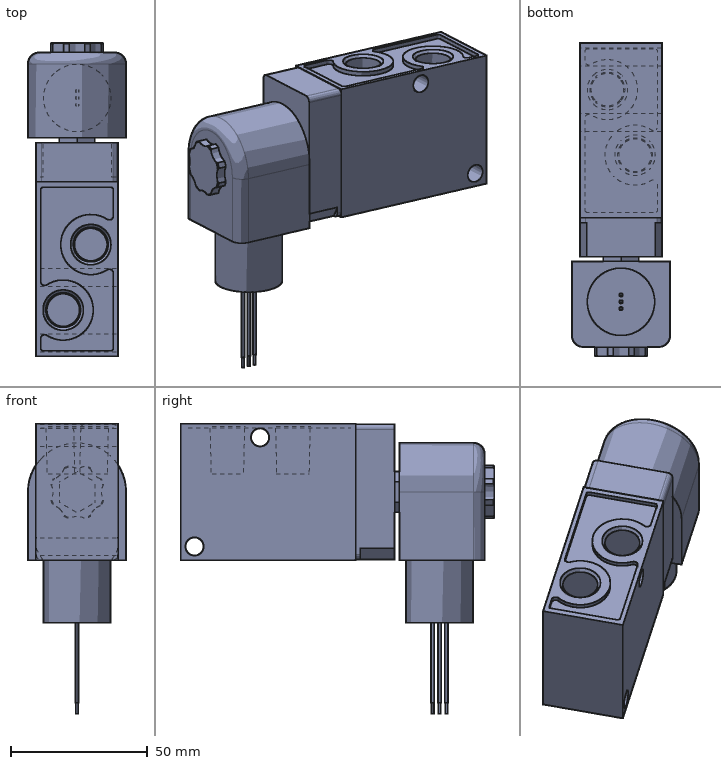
import cadquery as cq
import math


body_width = 30.0
body_length = 64.0
body_height = 50.0
mount_hole_diameter = 6.5
mount_hole_inset = 5.0
upper_mount_hole_y = 29.0

port_mouth_diameter = 14.8
port_diameter = 12.7
port_end_diameter = 11.9
port_depth = 18.4
port_offset_x = 5.0
front_port_y = 17.0
port_spacing = 24.0
port_centres = [(-port_offset_x, front_port_y), (port_offset_x, front_port_y + port_spacing)]

recess_width = 26.6
recess_length = 59.9
recess_depth = 1.6
recess_corner_radius = 1.0
port_island_diameter = 22.0
recess_tip_radius = 1.5

bonnet_length = 14.2
bonnet_inset = 0.2
bonnet_edge_radius = 2.0
bevel_height = 4.1
bevel_width = 2.4
bevel_length = 12.5
neck_across_corners = 15.0

coil_gap = 1.7
coil_length = 31.3
coil_width = 36.0
coil_rear_radius = 4.2
outlet_diameter = 24.7
outlet_length = 22.9
overall_length = 114.7
nut_diameter = 20.2
nut_length = overall_length - body_length - bonnet_length - coil_gap - coil_length
nut_lobes = 8
nut_land_angle = 11.6
nut_scallop_radius = 5.7
nut_chamfer = 0.3

wire_diameter = 1.3
core_diameter = 1.0
wire_spacing = 2.5
wire_end_z = -52.2
core_end_z = -56.2

axis_z = body_height / 2
bonnet_rear = body_length + bonnet_length
coil_front = bonnet_rear + coil_gap
coil_rear = coil_front + coil_length
outlet_y = coil_rear - coil_rear_radius - outlet_diameter / 2


def box(x_min, x_max, y_min, y_max, z_min, z_max):
    """Box between the given limits."""
    size = (x_max - x_min, y_max - y_min, z_max - z_min)
    return cq.Workplane("XY").box(*size, centered=False).translate((x_min, y_min, z_min))


def plane_facing_rear(y):
    """Workplane on the centre axis at the given Y, with +Y as its normal and +Z as its local y."""
    return cq.Workplane(cq.Plane(origin=(0, y, axis_z), xDir=(-1, 0, 0), normal=(0, 1, 0)))


def make_recess():
    """Shallow rounded pocket that leaves a round island about each port, open to the nearer side."""
    floor_z = body_height - recess_depth
    middle_y = body_length / 2
    recess = box(
        -recess_width / 2, recess_width / 2,
        middle_y - recess_length / 2, middle_y + recess_length / 2,
        floor_z, body_height,
    ).edges("|Z").fillet(recess_corner_radius)
    island_radius = port_island_diameter / 2
    side_distance = recess_width / 2 - port_offset_x
    half_gap = math.sqrt(island_radius**2 - side_distance**2)
    for x, y in port_centres:
        island = cq.Workplane("XY", origin=(x, y, floor_z)).circle(island_radius).extrude(recess_depth)
        recess = recess.cut(island)
        side_x = math.copysign(recess_width / 2, x)
        for tip_y in (y - half_gap, y + half_gap):
            tip = cq.selectors.NearestToPointSelector((side_x, tip_y, floor_z + recess_depth / 2))
            recess = recess.edges("|Z").edges(tip).fillet(recess_tip_radius)
    return recess


def make_port_cutter(x, y):
    """Blind tapered port with a conical mouth."""
    mouth_radius = port_mouth_diameter / 2
    bore_radius = port_diameter / 2
    mouth_depth = mouth_radius - bore_radius
    profile = (
        cq.Workplane("XZ")
        .moveTo(0, 0)
        .lineTo(mouth_radius, 0)
        .lineTo(bore_radius, -mouth_depth)
        .lineTo(port_end_diameter / 2, -port_depth)
        .lineTo(0, -port_depth)
        .close()
    )
    return profile.revolve(360, (0, 0), (0, 1)).translate((x, y, body_height))


def make_valve_body():
    """Block with a recessed top, two ports and two mounting holes across its width."""
    body = box(-body_width / 2, body_width / 2, 0, body_length, 0, body_height)
    body = body.cut(make_recess())
    for x, y in port_centres:
        body = body.cut(make_port_cutter(x, y))
    mount_holes = (
        cq.Workplane("YZ", origin=(-body_width / 2, 0, 0))
        .pushPoints([
            (mount_hole_inset, mount_hole_inset),
            (upper_mount_hole_y, body_height - mount_hole_inset),
        ])
        .circle(mount_hole_diameter / 2)
        .extrude(body_width)
    )
    return body.cut(mount_holes)


def make_bonnet():
    """Block with rounded long edges, bevelled lower sides and a hexagonal neck at the rear."""
    half_width = body_width / 2
    bonnet = box(
        -half_width, half_width,
        body_length, bonnet_rear,
        bonnet_inset, body_height - bonnet_inset,
    )
    bonnet = bonnet.edges("|Y").fillet(bonnet_edge_radius)
    bevel = (
        cq.Workplane("XZ", origin=(0, bonnet_rear, 0))
        .moveTo(half_width, bonnet_inset + bevel_height)
        .lineTo(half_width, bonnet_inset)
        .lineTo(half_width - bevel_width, bonnet_inset)
        .close()
        .extrude(bevel_length)
    )
    bonnet = bonnet.cut(bevel).cut(bevel.mirror("YZ"))
    neck = (
        plane_facing_rear(bonnet_rear)
        .transformed(rotate=(0, 0, 90))
        .polygon(6, neck_across_corners)
        .extrude(coil_gap)
    )
    return bonnet.union(neck)


def make_nut():
    """Round nut with a chamfered rear edge and concave scallops between narrow lands."""
    radius = nut_diameter / 2
    pitch_angle = 360 / nut_lobes
    half_scallop = math.radians(pitch_angle - nut_land_angle) / 2
    half_chord = radius * math.sin(half_scallop)
    scallop_centre = radius * math.cos(half_scallop) + math.sqrt(nut_scallop_radius**2 - half_chord**2)
    nut = plane_facing_rear(coil_rear).circle(radius).extrude(nut_length).faces(">Y").chamfer(nut_chamfer)
    scallops = (
        plane_facing_rear(coil_rear)
        .polarArray(scallop_centre, 0, 360, nut_lobes)
        .circle(nut_scallop_radius)
        .extrude(nut_length)
    )
    return nut.cut(scallops)


def make_wire(y):
    """Insulated wire from the cable outlet, with its bare core at the end."""
    insulation = (
        cq.Workplane("XY", origin=(0, y, wire_end_z))
        .circle(wire_diameter / 2)
        .extrude(-outlet_length - wire_end_z)
    )
    core = (
        cq.Workplane("XY", origin=(0, y, core_end_z))
        .circle(core_diameter / 2)
        .extrude(wire_end_z - core_end_z)
    )
    return insulation.union(core)


def make_coil():
    """Arched housing with a rounded rear, a cable outlet below, three wires and the rear nut."""
    half_width = coil_width / 2
    coil = (
        plane_facing_rear(coil_front)
        .moveTo(-half_width, -axis_z)
        .lineTo(-half_width, 0)
        .threePointArc((0, half_width), (half_width, 0))
        .lineTo(half_width, -axis_z)
        .close()
        .extrude(coil_length)
    )
    coil = coil.faces(">Y").edges("%CIRCLE or |Z").fillet(coil_rear_radius)
    outlet = (
        cq.Workplane("XY", origin=(0, outlet_y, -outlet_length))
        .circle(outlet_diameter / 2)
        .extrude(outlet_length)
    )
    coil = coil.union(outlet).union(make_nut())
    for step in (-1, 0, 1):
        coil = coil.union(make_wire(outlet_y + step * wire_spacing))
    return coil


valve_body = make_valve_body()
bonnet = make_bonnet()
coil = make_coil()

result = cq.Compound.makeCompound([valve_body.val(), bonnet.val(), coil.val()])